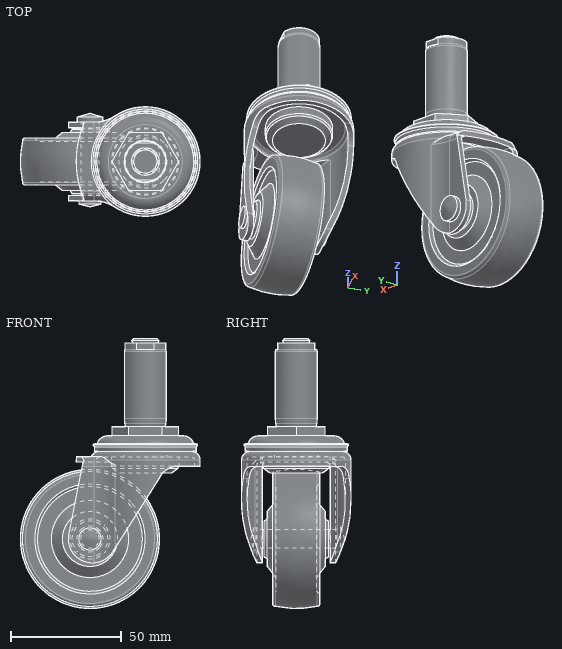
import cadquery as cq
import math


wheel_radius = 31.5
wheel_offset = -25.0
axle_height = wheel_radius

tyre_half_width = 10.6
tread_half_width = 9.4
tread_edge_radius = 30.5
tyre_side_radius = 29.2
web_half_width = 9.2
web_outer_radius = 23.7
web_lip_radius = 24.9
hub_cone_base_radius = 17.5
hub_shoulder_radius = 12.5
hub_shoulder_half_width = 13.2
hub_boss_base_radius = 9.0
hub_boss_radius = 8.0
hub_boss_half_width = 14.6

sheet = 2.6
cup_radius = 24.8
cup_top = 71.0
cup_round = 3.9
neck_half_width = 17.8
neck_top = 68.7
neck_round = 4.4
blend_start = -23.2
neck_end = -36.6
rim_height = 64.3
rim_cut_start = 14.6
rear_edge_top = (6.2, 58.7)
rear_bend = (9.5, 62.7)
leg_front_top = -28.2
leg_end_center = (-23.9, axle_height)
leg_end_radius = 10.9
roof_front = -31.2
roof_front_radius = 43.9

axle_radius = 4.1
rivet_head_radius = 5.9
rivet_head_edge = 20.0
rivet_head_tip = 21.8
button_head_radius = 5.0
button_head_edge = 19.3
button_head_tip = 20.5

total_height = 122.0
tip_shoulder = 120.0
tip_radius = 6.2
tip_top_radius = 5.2
tip_neck_radius = 5.7
tip_chamfer = 0.9
collar_bottom = 117.0
collar_radius = 9.3
collar_flats = 16.7
sleeve_top = 116.0
sleeve_radius = 9.5
sleeve_taper_top = 85.9
sleeve_foot = 83.7
sleeve_foot_radius = 9.4
sleeve_bottom_radius = 9.0
nut_top = 82.2
nut_flats = 26.1
cap_top = 78.1
cap_flat_radius = 16.7
cap_dome_mid = (20.0, 77.1)
cap_dome_radius = 21.8
brim_top = 74.5
brim_flat_radius = 22.7
brim_edge_top = 74.2
brim_bottom = 73.9
brim_radius = 23.7
band_top = 73.0
band_radius = 23.0
shank_radius = 9.8
bearing_radius = 15.2
bearing_edge = 64.4
bearing_bevel = 63.3
bearing_bevel_radius = 14.8
bearing_bottom = 61.2
bearing_bottom_radius = 12.0

very_tall = 2 * total_height


def revolve_about_z(half_profile):
    """Revolve a closed (radius, Z) half profile about the Z axis."""
    return half_profile.revolve(360, (0, 0, 0), (0, 1, 0))


def revolve_about_axle(half_profile):
    """Revolve a closed (radius, Y) half profile about the wheel axle."""
    spun = half_profile.revolve(360, (0, 0, 0), (0, 1, 0))
    return spun.translate((wheel_offset, 0, axle_height))


def axle_cylinder(radius):
    """Long cylinder along the axle, used to bore holes."""
    cylinder = cq.Workplane("XZ").circle(radius).extrude(very_tall / 2, both=True)
    return cylinder.translate((wheel_offset, 0, axle_height))


def make_wheel():
    edge_mid_radius = tyre_side_radius + 0.8 * (tread_edge_radius - tyre_side_radius)
    edge_mid_width = tread_half_width + 0.7 * (tyre_half_width - tread_half_width)
    profile = (
        cq.Workplane("XY")
        .moveTo(0, -hub_boss_half_width)
        .lineTo(hub_boss_radius, -hub_boss_half_width)
        .lineTo(hub_boss_base_radius, -hub_shoulder_half_width)
        .lineTo(hub_shoulder_radius, -hub_shoulder_half_width)
        .lineTo(hub_cone_base_radius, -web_half_width)
        .lineTo(web_outer_radius, -web_half_width)
        .lineTo(web_lip_radius, -tyre_half_width)
        .lineTo(tyre_side_radius, -tyre_half_width)
        .threePointArc((edge_mid_radius, -edge_mid_width), (tread_edge_radius, -tread_half_width))
        .threePointArc((wheel_radius, 0), (tread_edge_radius, tread_half_width))
        .threePointArc((edge_mid_radius, edge_mid_width), (tyre_side_radius, tyre_half_width))
        .lineTo(web_lip_radius, tyre_half_width)
        .lineTo(web_outer_radius, web_half_width)
        .lineTo(hub_cone_base_radius, web_half_width)
        .lineTo(hub_shoulder_radius, hub_shoulder_half_width)
        .lineTo(hub_boss_base_radius, hub_shoulder_half_width)
        .lineTo(hub_boss_radius, hub_boss_half_width)
        .lineTo(0, hub_boss_half_width)
        .close()
    )
    return revolve_about_axle(profile).cut(axle_cylinder(axle_radius))


def make_axle():
    profile = (
        cq.Workplane("XY")
        .moveTo(0, -button_head_tip)
        .lineTo(button_head_radius, -button_head_edge)
        .lineTo(button_head_radius, -neck_half_width)
        .lineTo(axle_radius, -neck_half_width)
        .lineTo(axle_radius, neck_half_width)
        .lineTo(rivet_head_radius, neck_half_width)
        .lineTo(rivet_head_radius, rivet_head_edge)
        .lineTo(0, rivet_head_tip)
        .close()
    )
    return revolve_about_axle(profile)


def fork_form(inset):
    """Solid pressing shape: a round cup with a flared neck, shrunk inwards by inset."""
    radius = cup_radius - inset
    half_width = neck_half_width - inset
    flare_radius = (blend_start**2 + half_width**2 - radius**2) / (2 * (radius - half_width))
    flare_center_y = half_width + flare_radius
    to_cup = radius / (radius + flare_radius)
    cup_x = blend_start * to_cup
    cup_y = flare_center_y * to_cup
    flare_angle = math.atan2(-blend_start, flare_center_y) / 2
    mid_x = blend_start + flare_radius * math.sin(flare_angle)
    mid_y = flare_center_y - flare_radius * math.cos(flare_angle)
    neck = (
        cq.Workplane("XY")
        .moveTo(neck_end, -half_width)
        .lineTo(blend_start, -half_width)
        .threePointArc((mid_x, -mid_y), (cup_x, -cup_y))
        .threePointArc((radius, 0), (cup_x, cup_y))
        .threePointArc((mid_x, mid_y), (blend_start, half_width))
        .lineTo(neck_end, half_width)
        .close()
        .extrude(neck_top - inset)
        .faces(">Z").edges("not <X").fillet(neck_round - inset)
    )
    cup = (
        cq.Workplane("XY").circle(radius).extrude(cup_top - inset)
        .faces(">Z").edges().fillet(cup_round - inset)
    )
    return neck.union(cup)


def tangent_point(center, radius, point, side):
    """Point where a line from an outside point touches a circle, on the chosen side."""
    dx = point[0] - center[0]
    dz = point[1] - center[1]
    angle = math.atan2(dz, dx) + side * math.acos(radius / math.hypot(dx, dz))
    return (center[0] + radius * math.cos(angle), center[1] + radius * math.sin(angle))


def fork_trim():
    """Volume inside which the pressing is kept: leg outline below, roof outline above."""
    roof_underside = neck_top - sheet
    leg_front = (leg_front_top, roof_underside)
    front_tangent = tangent_point(leg_end_center, leg_end_radius, leg_front, 1)
    rear_tangent = tangent_point(leg_end_center, leg_end_radius, rear_edge_top, -1)
    leg_bottom = (leg_end_center[0], leg_end_center[1] - leg_end_radius)
    legs = (
        cq.Workplane("XZ")
        .moveTo(*leg_front)
        .lineTo(*front_tangent)
        .threePointArc(leg_bottom, rear_tangent)
        .lineTo(*rear_edge_top)
        .threePointArc(rear_bend, (rim_cut_start, rim_height))
        .lineTo(cup_radius, rim_height)
        .lineTo(cup_radius, roof_underside)
        .close()
        .extrude(cup_radius, both=True)
    )
    roof = (
        cq.Workplane("XY", origin=(roof_front + roof_front_radius, 0, roof_underside))
        .circle(roof_front_radius)
        .extrude(cup_top - roof_underside)
    )
    return legs.union(roof)


def make_fork():
    shell = fork_form(0).cut(fork_form(sheet))
    shank_hole = cq.Workplane("XY").circle(shank_radius).extrude(very_tall)
    pressing = shell.intersect(fork_trim()).cut(shank_hole).cut(axle_cylinder(axle_radius))
    return pressing.cut(make_axle())


def make_stem():
    roof_underside = cup_top - sheet
    profile = (
        cq.Workplane("XZ")
        .moveTo(0, bearing_bottom)
        .lineTo(bearing_bottom_radius, bearing_bottom)
        .lineTo(bearing_bevel_radius, bearing_bevel)
        .lineTo(bearing_radius, bearing_edge)
        .lineTo(bearing_radius, roof_underside)
        .lineTo(shank_radius, roof_underside)
        .lineTo(shank_radius, cup_top)
        .lineTo(band_radius, cup_top)
        .lineTo(band_radius, band_top)
        .lineTo(brim_radius, brim_bottom)
        .lineTo(brim_radius, brim_edge_top)
        .lineTo(brim_flat_radius, brim_top)
        .lineTo(cap_dome_radius, brim_top)
        .threePointArc(cap_dome_mid, (cap_flat_radius, cap_top))
        .lineTo(sleeve_bottom_radius, cap_top)
        .lineTo(sleeve_bottom_radius, nut_top)
        .lineTo(sleeve_foot_radius, sleeve_foot)
        .lineTo(sleeve_radius, sleeve_taper_top)
        .lineTo(sleeve_radius, sleeve_top)
        .lineTo(collar_radius, collar_bottom)
        .lineTo(collar_radius, tip_shoulder)
        .lineTo(tip_neck_radius, tip_shoulder)
        .lineTo(tip_radius, total_height - tip_chamfer)
        .lineTo(tip_top_radius, total_height)
        .lineTo(0, total_height)
        .close()
    )
    nut = (
        cq.Workplane("XY", origin=(0, 0, cap_top))
        .polygon(6, nut_flats / math.cos(math.pi / 6))
        .extrude(nut_top - cap_top)
    )
    collar_height = tip_shoulder - collar_bottom
    flats_waste = (
        cq.Workplane("XY", origin=(0, 0, collar_bottom))
        .circle(sleeve_radius)
        .extrude(collar_height)
        .cut(cq.Workplane("XY").box(very_tall, collar_flats, very_tall * 2))
    )
    return revolve_about_z(profile).union(nut).cut(flats_waste)


stem = make_stem()
fork = make_fork()
wheel = make_wheel()
axle = make_axle()

result = cq.Compound.makeCompound([
    stem.solids().val(),
    fork.solids().val(),
    wheel.solids().val(),
    axle.solids().val(),
])